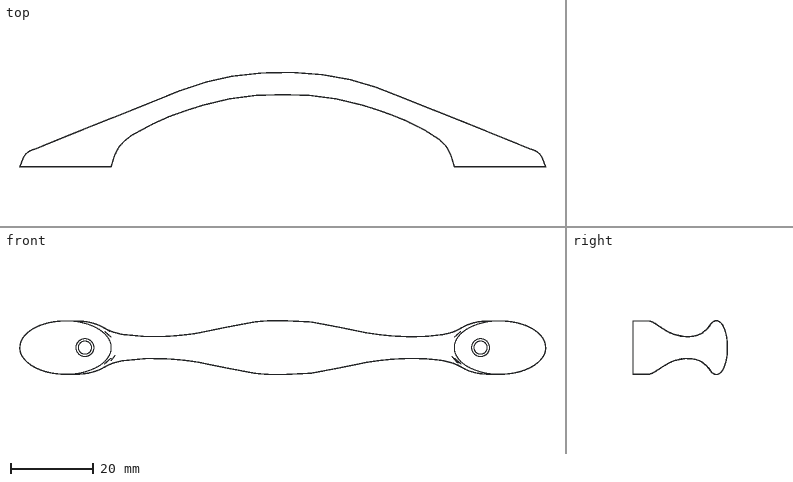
import cadquery as cq
import math

length = 127.6
height = 23.0
grip_width = 13.1
grip_thickness = 5.5

foot_length = 22.2
foot_width = 13.0
foot_outer_x = length / 2
foot_inner_x = foot_outer_x - foot_length
foot_lean = 0.9
foot_side_inset = 0.6
foot_wall_outer_y = 1.7
foot_wall_inner_y = 2.2
foot_rounding_outer = (62.1, 3.3)
foot_rounding_inner = (40.8, 2.5)
foot_top_outer = (60.1, 4.3)
foot_top_inner = (foot_inner_x - foot_lean, 2.9)

oval_points = 16

hole_spacing = 96.0
hole_diameter = 3.2
hole_mouth_diameter = 4.3
hole_countersink_depth = 0.6
hole_depth = 6.4

foot_base = ((foot_outer_x, 0), (foot_inner_x, 0), foot_width)
foot_wall = (
    (foot_outer_x - foot_side_inset, foot_wall_outer_y),
    (foot_inner_x - foot_side_inset, foot_wall_inner_y),
    foot_width,
)
foot_rounding = (foot_rounding_outer, foot_rounding_inner, foot_width)
foot_top = (foot_top_outer, foot_top_inner, foot_width)
lower_flare = ((52.3, 7.5), (39.9, 4.5), 10.7)
upper_flare = ((43.4, 11.1), (37.3, 7.1), 6.9)
neck = ((32.5, 15.5), (29.3, 11.4), 5.4)
shoulder = ((22.1, 19.5), (19.8, 14.8), 7.0)
grip_side = ((11.9, 22.1), (10.7, 16.8), 11.0)
grip_middle = ((0, height), (0, height - grip_thickness), grip_width)


def mirrored(section):
    """Reflect a section to the -X half."""
    outer, inner, width = section
    return (-outer[0], outer[1]), (-inner[0], inner[1]), width


def section_wire(section):
    """Closed oval whose first axis joins the outer and inner edge points; its width is along Z."""
    (outer_x, outer_y), (inner_x, inner_y), width = section
    center_x = (outer_x + inner_x) / 2
    center_y = (outer_y + inner_y) / 2
    points = []
    for step in range(oval_points):
        angle = 2 * math.pi * step / oval_points
        points.append(
            cq.Vector(
                center_x + (outer_x - center_x) * math.cos(angle),
                center_y + (outer_y - center_y) * math.cos(angle),
                width / 2 * math.sin(angle),
            )
        )
    return cq.Wire.assembleEdges([cq.Edge.makeSpline(points, periodic=True)])


def loft(sections):
    """Smooth solid through the given sections."""
    return cq.Workplane(cq.Solid.makeLoft([section_wire(section) for section in sections]))


half_bow = [foot_top, lower_flare, upper_flare, neck, shoulder, grip_side]
bow = loft(half_bow + [grip_middle] + [mirrored(s) for s in reversed(half_bow)])
right_foot = loft([foot_base, foot_wall]).union(loft([foot_wall, foot_rounding, foot_top]))
left_foot = right_foot.mirror("YZ")
body = bow.union(right_foot).union(left_foot)


def screw_hole(x):
    """Revolved cutter for one screw hole, along +Y from the mounting plane."""
    radius = hole_diameter / 2
    return (
        cq.Workplane("XY")
        .lineTo(hole_mouth_diameter / 2, 0)
        .lineTo(radius, hole_countersink_depth)
        .lineTo(radius, hole_depth)
        .lineTo(0, hole_depth + radius)
        .close()
        .revolve(360, (0, 0, 0), (0, 1, 0))
        .translate((x, 0, 0))
    )


for side in (-1, 1):
    body = body.cut(screw_hole(side * hole_spacing / 2))

result = body